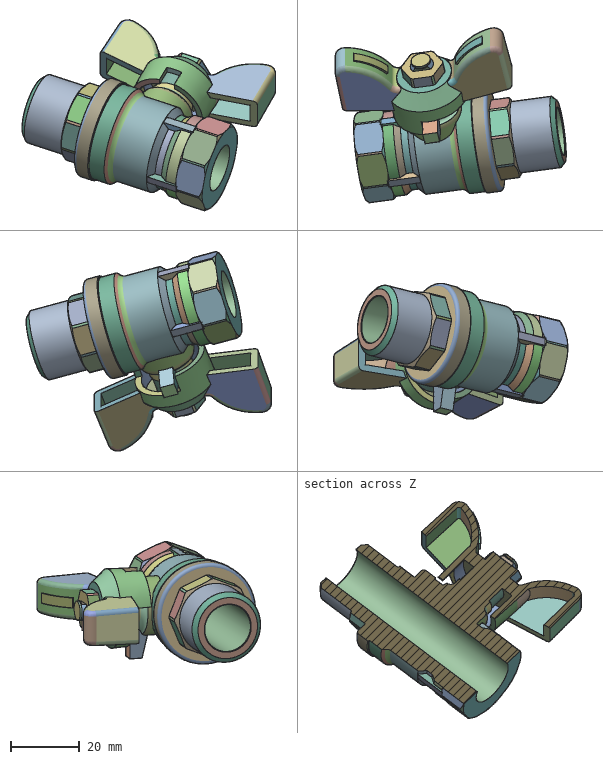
import cadquery as cq
import math


OVERALL_LENGTH = 60.25
WING_REACH = 25.05
STEM_X = OVERALL_LENGTH - WING_REACH

BORE_R = 7.0
BORE_CHAMFER = 0.2

THREAD_R = 10.5
THREAD_LENGTH = 13.1
THREAD_CHAMFER = 1.4

OCTAGON_SIDES = 8
MALE_FLATS = 22.0
MALE_CORNER_R = 11.75
FEMALE_FLATS = 24.7
FEMALE_CORNER_R = 13.25
OCTAGON_CHAMFER = 0.7

FLANGE_START = 19.05
FLANGE_END = 23.85
FLANGE_R = 15.0
FLANGE_ROUND = 1.0
FLANGE_CHAMFER = 0.25
COLLAR_END = 28.6
COLLAR_R = 14.5
COLLAR_CHAMFER = 0.85
BARREL_START = 30.85
BARREL_END = 41.45
BARREL_R = 13.0
GROOVE_START = 43.3
GROOVE_END = 45.35
GROOVE_R = 11.2
LAND_START = 47.3
LAND_R = 12.4
FEMALE_START = 50.4
FEMALE_END = 59.0

RIB_END = FEMALE_START + OCTAGON_CHAMFER
RIB_TOP = 12.9
RIB_TOP_WIDTH = 2.35
RIB_ROOT_WIDTH = 3.2
RIB_COUNT = 4
RIB_EMBED = 0.6

NECK_R = 8.55
NECK_SHOULDER_Y = 14.1
NECK_RIM_R = 8.1
NECK_RIM_Y = 15.55
GLAND_R = 6.55
GLAND_START_Y = 17.25
GLAND_END_Y = 19.1
STEM_R = 6.15

LUG_WIDTH = 4.35
LUG_REACH = FLANGE_R
LUG_ROOT_Y = 13.85
LUG_ROOT_Z = 8.55
LUG_TIP_Y = 15.4

HUB_START_Y = 15.5
HUB_CONE_Y = 24.8
HUB_TOP_Y = 29.1
HUB_MOUTH_R = 11.3
HUB_R = 11.6
HUB_TOP_R = 8.1
HUB_CAVITY_R = 9.6
HUB_CAVITY_Y = HUB_CONE_Y
NOTCH_TOP_Y = 20.6
NOTCH_WIDTH = 4.7

WING_EDGE_TOP = (24.8, 36.75)
WING_TIP = (21.4, 39.5)
WING_ARC_END = (9.1, 29.95)
WING_BASE_Y = 23.85
WING_BASE_SLOPE = 0.17
WING_TIP_HALF = 5.05
WING_BASE_HALF = 5.5
WING_ROUND = 1.4
WING_WALL = 2.1
WING_ROOT = 6.6
ROOT_CLEARANCE = 0.05
PAD_WIDTH = 3
PAD_TIP_OUTER = (19.0, 39.35)
PAD_ARC_MID = (14.6, 37.1)
PAD_ROOT_OUTER = (9.95, 32.7)
PAD_TIP_INNER = (19.0, 37.95)
PAD_ROOT_INNER = (10.95, 31.95)

NUT_SIDES = 6
NUT_FLATS = 11.0
NUT_CORNER_R = 6.15
NUT_TOP_Y = 32.6
STEM_END_R = 3.45
STEM_TIP_R = 2.85
STEM_TIP_START_Y = 34.0
STEM_TIP_Y = 34.6
STEM_FLATS = 4.6
STEM_FLATS_Y = 33.75


def turned_about_x(points):
    """Solid of revolution around the flow axis from (x, radius) points."""
    return cq.Workplane("XY").polyline(points).close().revolve(360, (0, 0, 0), (1, 0, 0))


def across_corners(flats, sides):
    """Corner-to-corner size of a regular polygon from its size across flats."""
    return flats / math.cos(math.pi / sides)


def octagon(start, end, flats, corner_r, start_r):
    """Octagonal bar along X with turned corners, coned down to start_r at its start."""
    bar = (
        cq.Workplane("YZ", origin=(start, 0, 0))
        .polygon(OCTAGON_SIDES, across_corners(flats, OCTAGON_SIDES))
        .extrude(end - start)
    )
    envelope = turned_about_x([
        (start, 0),
        (start, start_r),
        (start + OCTAGON_CHAMFER, corner_r),
        (end - OCTAGON_CHAMFER, corner_r),
        (end, corner_r - OCTAGON_CHAMFER),
        (end, 0),
    ])
    return bar.intersect(envelope)


def body_barrel():
    """Turned body: male thread, flange, collar, barrel, groove and land."""
    round_mid = FLANGE_ROUND * (1 - math.sqrt(0.5))
    fillet_start = (COLLAR_END + COLLAR_CHAMFER, COLLAR_R - COLLAR_CHAMFER)
    return (
        cq.Workplane("XY")
        .moveTo(0, 0)
        .lineTo(0, THREAD_R - THREAD_CHAMFER)
        .lineTo(THREAD_CHAMFER, THREAD_R)
        .lineTo(FLANGE_START, THREAD_R)
        .lineTo(FLANGE_START, FLANGE_R - FLANGE_ROUND)
        .threePointArc(
            (FLANGE_START + round_mid, FLANGE_R - round_mid),
            (FLANGE_START + FLANGE_ROUND, FLANGE_R),
        )
        .lineTo(FLANGE_END - FLANGE_CHAMFER, FLANGE_R)
        .lineTo(FLANGE_END, FLANGE_R - FLANGE_CHAMFER)
        .lineTo(FLANGE_END, COLLAR_R)
        .lineTo(COLLAR_END, COLLAR_R)
        .lineTo(*fillet_start)
        .tangentArcPoint((BARREL_START, BARREL_R), relative=False)
        .lineTo(BARREL_END, BARREL_R)
        .lineTo(GROOVE_START, GROOVE_R)
        .lineTo(GROOVE_END, GROOVE_R)
        .lineTo(LAND_START, LAND_R)
        .lineTo(FEMALE_START, LAND_R)
        .lineTo(FEMALE_START, 0)
        .close()
        .revolve(360, (0, 0, 0), (1, 0, 0))
    )


def rib(angle):
    """Tapered rib bridging the groove, turned by an angle around the flow axis."""
    section = [
        (-RIB_ROOT_WIDTH / 2, GROOVE_R - RIB_EMBED),
        (RIB_ROOT_WIDTH / 2, GROOVE_R - RIB_EMBED),
        (RIB_TOP_WIDTH / 2, RIB_TOP),
        (-RIB_TOP_WIDTH / 2, RIB_TOP),
    ]
    return (
        cq.Workplane("YZ", origin=(BARREL_END - RIB_EMBED, 0, 0))
        .polyline(section)
        .close()
        .extrude(RIB_END - BARREL_END + RIB_EMBED)
        .rotate((0, 0, 0), (1, 0, 0), angle)
    )


def flow_bore():
    """Through bore with a small chamfer at the male end."""
    return turned_about_x([
        (0, 0),
        (0, BORE_R + BORE_CHAMFER),
        (BORE_CHAMFER, BORE_R),
        (FEMALE_END, BORE_R),
        (FEMALE_END, 0),
    ])


def neck():
    """Neck, flared gland and stem, around the stem axis."""
    flare_mid = ((NECK_RIM_R + 2 * GLAND_R) / 3, (2 * NECK_RIM_Y + GLAND_START_Y) / 3)
    return (
        cq.Workplane("XY")
        .moveTo(0, 0)
        .lineTo(NECK_R, 0)
        .lineTo(NECK_R, NECK_SHOULDER_Y)
        .tangentArcPoint((NECK_RIM_R, NECK_RIM_Y), relative=False)
        .threePointArc(flare_mid, (GLAND_R, GLAND_START_Y))
        .lineTo(GLAND_R, GLAND_END_Y)
        .lineTo(STEM_R, GLAND_END_Y)
        .lineTo(STEM_R, HUB_CAVITY_Y)
        .lineTo(0, HUB_CAVITY_Y)
        .close()
        .revolve(360, (0, 0, 0), (0, 1, 0))
    )


def stop_lug():
    """Stop lug reaching down from the gland."""
    return (
        cq.Workplane("YZ")
        .moveTo(GLAND_END_Y, 0)
        .lineTo(GLAND_END_Y, -LUG_REACH)
        .lineTo(LUG_TIP_Y, -LUG_REACH)
        .lineTo(LUG_ROOT_Y, -LUG_ROOT_Z)
        .lineTo(LUG_ROOT_Y, 0)
        .close()
        .extrude(LUG_WIDTH / 2, both=True)
    )


def hub():
    """Solid hub with a slightly flared skirt and a conical top."""
    return (
        cq.Workplane("XY")
        .polyline([
            (0, HUB_START_Y),
            (HUB_MOUTH_R, HUB_START_Y),
            (HUB_R, HUB_CONE_Y),
            (HUB_TOP_R, HUB_TOP_Y),
            (0, HUB_TOP_Y),
        ])
        .close()
        .revolve(360, (0, 0, 0), (0, 1, 0))
    )


def hub_openings():
    """Round cavity, notch in the top of the wall and the quadrant swept by the stop lug."""
    depth = NOTCH_TOP_Y - HUB_START_Y
    cavity = cq.Workplane("XZ").circle(HUB_CAVITY_R).extrude(HUB_START_Y - HUB_CAVITY_Y)
    notch = cq.Workplane("XY").box(NOTCH_WIDTH, depth, HUB_R, centered=(True, False, False))
    sweep = (
        cq.Workplane("XY")
        .box(HUB_R + NOTCH_WIDTH / 2, depth, HUB_R + LUG_WIDTH / 2, centered=False)
        .translate((-HUB_R, 0, -HUB_R))
    )
    return cavity.union(notch).union(sweep).translate((0, HUB_START_Y, 0))


def wing_outline(base_drop=0):
    """Outline of the wing on the +X side, its lower edge lowered by base_drop."""
    base_outer_y = WING_BASE_Y - base_drop
    base_inner_y = base_outer_y - WING_BASE_SLOPE * (WING_REACH - WING_ROOT)
    return (
        cq.Workplane("XY")
        .moveTo(WING_ROOT, base_inner_y)
        .lineTo(WING_REACH, base_outer_y)
        .lineTo(*WING_EDGE_TOP)
        .tangentArcPoint(WING_TIP, relative=False)
        .tangentArcPoint(WING_ARC_END, relative=False)
        .tangentArcPoint((WING_ROOT, HUB_TOP_Y), relative=False)
        .close()
    )


def wing_blank():
    """Solid wing that thins towards its tip and has rounded outer edges."""
    tip_y = WING_TIP[1] + WING_ROUND
    flat_stock = wing_outline().extrude(WING_BASE_HALF, both=True)
    taper = (
        cq.Workplane("YZ")
        .polyline([
            (NOTCH_TOP_Y, -WING_BASE_HALF),
            (NOTCH_TOP_Y, WING_BASE_HALF),
            (tip_y, WING_TIP_HALF),
            (tip_y, -WING_TIP_HALF),
        ])
        .close()
        .extrude(WING_REACH)
    )
    blank = flat_stock.intersect(taper)
    rounded_zone = cq.selectors.BoxSelector(
        (WING_ROOT + ROOT_CLEARANCE, WING_BASE_Y, -WING_BASE_HALF),
        (WING_REACH, tip_y, WING_BASE_HALF),
    )
    return blank.edges("not |Z").edges(rounded_zone).fillet(WING_ROUND)


def grip_pad():
    """Raised pad along the curved upper edge of the wing."""
    return (
        cq.Workplane("XY")
        .moveTo(*PAD_ROOT_INNER)
        .lineTo(*PAD_TIP_INNER)
        .lineTo(*PAD_TIP_OUTER)
        .threePointArc(PAD_ARC_MID, PAD_ROOT_OUTER)
        .close()
        .extrude(PAD_WIDTH / 2, both=True)
    )


def wing():
    """Hollow wing on the +X side, open along its lower edge."""
    pocket = (
        wing_outline(base_drop=2 * WING_WALL)
        .offset2D(-WING_WALL)
        .extrude(WING_BASE_HALF - WING_WALL, both=True)
    )
    hub_column = (
        cq.Workplane("XZ", origin=(0, HUB_CONE_Y, 0))
        .circle(HUB_R)
        .extrude(HUB_CONE_Y - WING_TIP[1])
    )
    return wing_blank().union(grip_pad()).cut(pocket.cut(hub_column))


def nut_and_stem_end():
    """Hexagon nut on the hub and the coned stem end, with two flats, above it."""
    nut = (
        cq.Workplane("XZ", origin=(0, HUB_TOP_Y, 0))
        .polygon(NUT_SIDES, across_corners(NUT_FLATS, NUT_SIDES))
        .extrude(HUB_TOP_Y - NUT_TOP_Y)
    )
    corner_limit = cq.Workplane("XZ").circle(NUT_CORNER_R).extrude(-NUT_TOP_Y)
    stem_end = (
        cq.Workplane("XY")
        .polyline([
            (0, HUB_TOP_Y),
            (STEM_END_R, HUB_TOP_Y),
            (STEM_END_R, NUT_TOP_Y),
            (STEM_TIP_R, STEM_TIP_START_Y),
            (STEM_TIP_R, STEM_TIP_Y),
            (0, STEM_TIP_Y),
        ])
        .close()
        .revolve(360, (0, 0, 0), (0, 1, 0))
    )
    flat_cutter = (
        cq.Workplane("XY")
        .box(2 * STEM_END_R, STEM_FLATS_Y - NUT_TOP_Y, STEM_END_R, centered=(True, False, False))
        .translate((0, NUT_TOP_Y, STEM_FLATS / 2))
    )
    stem_end = stem_end.cut(flat_cutter).cut(flat_cutter.mirror("XY"))
    return nut.intersect(corner_limit).union(stem_end)


body = body_barrel()
male_octagon_end = (FLANGE_START + FLANGE_END) / 2
body = body.union(octagon(THREAD_LENGTH, male_octagon_end, MALE_FLATS, MALE_CORNER_R, THREAD_R))
body = body.union(octagon(FEMALE_START, FEMALE_END, FEMALE_FLATS, FEMALE_CORNER_R, LAND_R))
for index in range(RIB_COUNT):
    body = body.union(rib(index * 360 / RIB_COUNT))

right_wing = wing()
handle = hub().union(right_wing).union(right_wing.mirror("YZ")).cut(hub_openings())
handle = handle.union(nut_and_stem_end())

upper_parts = neck().union(stop_lug()).union(handle).translate((STEM_X, 0, 0))
result = body.union(upper_parts).cut(flow_bore())